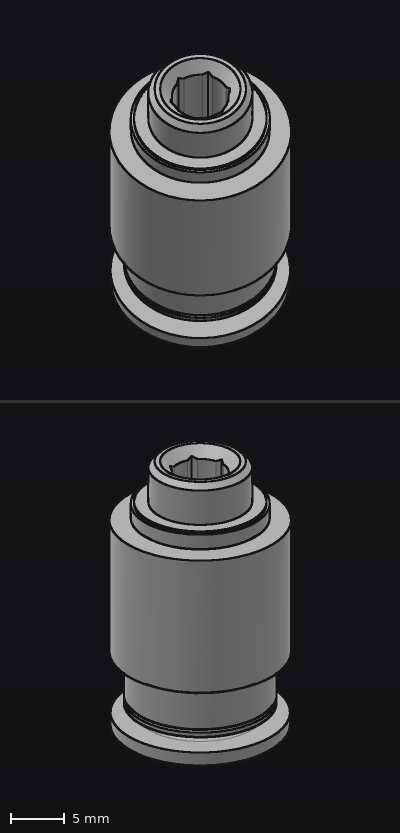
import cadquery as cq
import math

total_height = 28.3
flange_edge_z = 0.55
flange_side_z = 0.7
flange_top_z = 2.05
ring_bottom_z = 2.95
body_bottom_z = 7.8
body_top_z = 22.2
collar_top_z = 24.1

bottom_face_diameter = 10.0
flange_diameter = 16.8
waist_diameter = 11.4
neck_diameter = 14.3
body_diameter = 17.0
collar_diameter = 13.0
collar_end_diameter = 12.4
stud_diameter = 9.73

waist_fillet_radius = 0.4
flange_edge_break = 0.2
ring_chamfer = 0.1
groove_depth = 0.2
groove_half_width = 0.18
groove_z = 3.68
body_chamfer_width = 1.0
body_chamfer_height = body_chamfer_width * math.tan(math.radians(30))
collar_step_height = 0.2
stud_chamfer = 0.6

hex_across_flats = 5.0
hex_across_corners = hex_across_flats / math.cos(math.radians(30))
bore_diameter = 5.3
countersink_diameter = 7.5
countersink_depth = 1.1


def make_turned_body():
    """Revolve the outer profile, drawn as (radius, z) from bottom to top."""
    flange_radius = flange_diameter / 2
    waist_radius = waist_diameter / 2
    neck_radius = neck_diameter / 2
    body_radius = body_diameter / 2
    collar_radius = collar_diameter / 2
    collar_end_radius = collar_end_diameter / 2
    stud_radius = stud_diameter / 2

    flange_points = [
        (0, 0),
        (bottom_face_diameter / 2, 0),
        (flange_radius - flange_edge_break, flange_edge_z),
        (flange_radius, flange_side_z),
        (flange_radius, flange_top_z),
        (waist_radius + waist_fillet_radius, flange_top_z),
    ]

    fillet_sagitta = waist_fillet_radius * (1 - math.cos(math.radians(45)))
    fillet_middle = (waist_radius + fillet_sagitta, flange_top_z + fillet_sagitta)
    fillet_end = (waist_radius, flange_top_z + waist_fillet_radius)

    upper_points = [
        (waist_radius, ring_bottom_z),
        (neck_radius - ring_chamfer, ring_bottom_z),
        (neck_radius, ring_bottom_z + ring_chamfer),
        (neck_radius, groove_z - groove_half_width),
        (neck_radius - groove_depth, groove_z),
        (neck_radius, groove_z + groove_half_width),
        (neck_radius, body_bottom_z),
        (body_radius - body_chamfer_width, body_bottom_z),
        (body_radius, body_bottom_z + body_chamfer_height),
        (body_radius, body_top_z),
        (collar_end_radius, body_top_z),
        (collar_end_radius, body_top_z + collar_step_height),
        (collar_radius, body_top_z + collar_step_height),
        (collar_radius, collar_top_z - collar_step_height),
        (collar_end_radius, collar_top_z - collar_step_height),
        (collar_end_radius, collar_top_z),
        (stud_radius, collar_top_z),
        (stud_radius, total_height - stud_chamfer),
        (stud_radius - stud_chamfer, total_height),
        (0, total_height),
    ]
    return (
        cq.Workplane("XZ")
        .polyline(flange_points)
        .threePointArc(fillet_middle, fillet_end)
        .polyline(upper_points, includeCurrent=True)
        .close()
        .revolve(360, (0, 0), (0, 1))
    )


def make_socket():
    """Hexagon with corners on the Y axis, joined with the round bore, full height."""
    hexagon = (
        cq.Workplane("XY")
        .transformed(rotate=(0, 0, 90))
        .polygon(6, hex_across_corners)
        .extrude(total_height)
    )
    bore = cq.Workplane("XY").circle(bore_diameter / 2).extrude(total_height)
    return hexagon.union(bore)


def make_countersink():
    """Cone at the top of the stud that narrows to the bore diameter."""
    return (
        cq.Workplane("XY", origin=(0, 0, total_height - countersink_depth))
        .circle(bore_diameter / 2)
        .workplane(offset=countersink_depth)
        .circle(countersink_diameter / 2)
        .loft()
    )


result = make_turned_body().cut(make_socket()).cut(make_countersink())